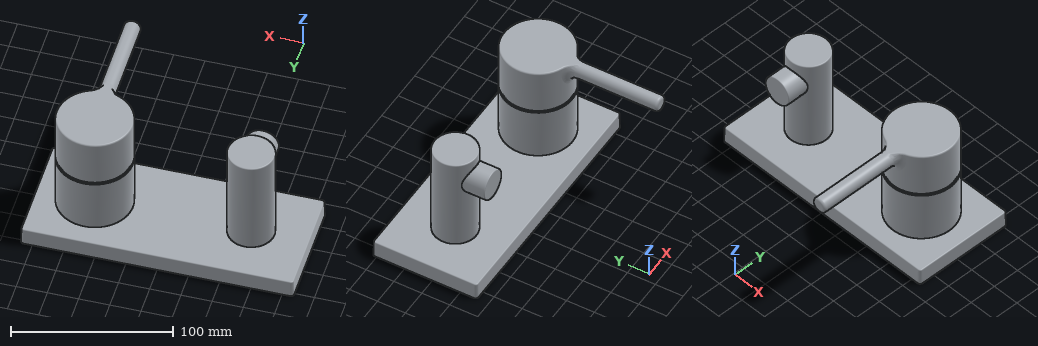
import cadquery as cq

plate_length = 175.0
plate_width = 75.2
plate_height = 11.9
plate_taper = 1.5
corner_radius = 2.3
plate_edge_round = 0.9

post_x = -50.0
post_radius = 15.0
post_top = 80.3
post_edge_round = 0.9
knob_radius = 10.5
knob_z = 62.6
knob_reach = 27.1
knob_edge_round = 0.7

mixer_x = 50.0
sleeve_radius = 24.5
sleeve_top = 49.4
groove_radius = 23.3
cap_radius = 24.5
cap_bottom = 51.3
cap_top = 83.5
cap_edge_round = 1.2

lever_radius = 5.5
lever_reach = 88.5
lever_drop = 0.2
lever_z = cap_top - lever_drop - lever_radius
lever_flare = 7.0
lever_edge_round = 2.1


def upright(x, radius, bottom, top):
    """Vertical cylinder between two heights."""
    return cq.Workplane("XY", origin=(x, 0, bottom)).circle(radius).extrude(top - bottom)


def forward_rod(x, z, radius, reach):
    """Cylinder running from the axis of an upright toward -Y."""
    return cq.Workplane("XZ", origin=(x, 0, z)).circle(radius).extrude(reach)


def make_plate():
    foot = cq.Sketch().rect(plate_length, plate_width).vertices().fillet(corner_radius)
    plate = cq.Workplane("XY").placeSketch(foot).extrude(plate_height, taper=plate_taper)
    return plate.faces(">Z").edges().fillet(plate_edge_round)


def make_post():
    post = upright(post_x, post_radius, 0, post_top).faces(">Z").edges().fillet(post_edge_round)
    knob = forward_rod(post_x, knob_z, knob_radius, knob_reach)
    knob = knob.faces("<Y").edges().fillet(knob_edge_round)
    return post.union(knob)


def make_cap():
    uncut_top = cap_top + 2 * lever_flare
    cap = upright(mixer_x, cap_radius, cap_bottom, uncut_top)
    lever = forward_rod(mixer_x, lever_z, lever_radius, lever_reach)
    lever = lever.faces("<Y").edges().fillet(lever_edge_round)
    cap = cap.union(lever)
    root = cq.selectors.BoxSelector(
        (mixer_x - 2 * lever_radius, -cap_radius - 1.8, lever_z - 2 * lever_radius),
        (mixer_x + 2 * lever_radius, -cap_radius + 1.8, lever_z + 2 * lever_radius),
    )
    cap = cap.edges(root).fillet(lever_flare)
    above = upright(mixer_x, 2 * cap_radius, cap_top, uncut_top + 1.8)
    return cap.cut(above).faces(">Z").edges().fillet(cap_edge_round)


def make_mixer():
    sleeve = upright(mixer_x, sleeve_radius, 0, sleeve_top)
    neck = upright(mixer_x, groove_radius, 0, cap_bottom)
    return sleeve.union(neck).union(make_cap())


result = make_plate().union(make_post()).union(make_mixer())